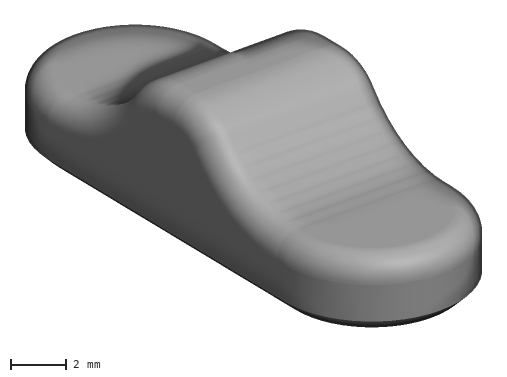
import cadquery as cq
import math

length = 22.0
width = 8.0
height = 6.0
end_height = 3.0

crest_flat = 1.0
crest_radius = 2.5
valley_radius = 5.0

top_fillet = 1.0
bottom_chamfer = 0.5

rise = height - end_height
arc_centre_distance = crest_radius + valley_radius
flank_angle = math.acos(1 - rise / arc_centre_distance)
crest_x = crest_flat / 2
join_x = crest_x + crest_radius * math.sin(flank_angle)
join_z = height - crest_radius * (1 - math.cos(flank_angle))
valley_x = crest_x + arc_centre_distance * math.sin(flank_angle)


def crest_middle(side):
    """Point halfway along the crest arc on the given side (-1 or 1)."""
    half_angle = flank_angle / 2
    x = crest_x + crest_radius * math.sin(half_angle)
    return side * x, height - crest_radius * (1 - math.cos(half_angle))


def valley_middle(side):
    """Point halfway along the valley arc on the given side (-1 or 1)."""
    half_angle = flank_angle / 2
    x = valley_x - valley_radius * math.sin(half_angle)
    return side * x, end_height + valley_radius * (1 - math.cos(half_angle))


def make_side_profile():
    """Full-width bar whose outline is the wavy side profile."""
    half_length = length / 2
    return (
        cq.Workplane("XZ")
        .moveTo(-half_length, 0)
        .lineTo(-half_length, end_height)
        .lineTo(-valley_x, end_height)
        .threePointArc(valley_middle(-1), (-join_x, join_z))
        .threePointArc(crest_middle(-1), (-crest_x, height))
        .lineTo(crest_x, height)
        .threePointArc(crest_middle(1), (join_x, join_z))
        .threePointArc(valley_middle(1), (valley_x, end_height))
        .lineTo(half_length, end_height)
        .lineTo(half_length, 0)
        .close()
        .extrude(width / 2, both=True)
    )


plan_block = cq.Workplane("XY").slot2D(length, width).extrude(height)
body = plan_block.intersect(make_side_profile())

body = body.faces("<Z").chamfer(bottom_chamfer)
rim_zone = cq.selectors.BoxSelector(
    (-length, -width, end_height - bottom_chamfer),
    (length, width, height + bottom_chamfer),
)
rim_edges = body.edges(rim_zone).edges("not(|Y or |Z)")
result = rim_edges.fillet(top_fillet)